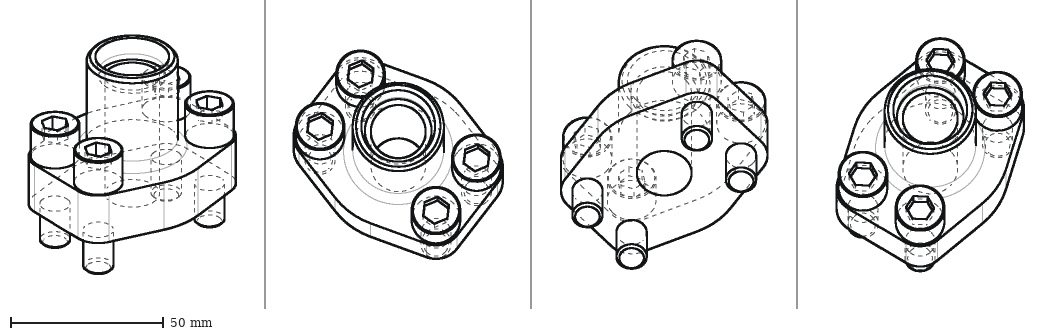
import cadquery as cq
import math

PLATE_LENGTH = 65.0
PLATE_THICKNESS = 18.0
SIDE_RADIUS = 26.0

SCREW_SPACING_X = 22.2
SCREW_SPACING_Y = 47.55
SHANK_DIAMETER = 10.0
SHANK_PROJECTION = 14.5
SHANK_CHAMFER = 0.9
HEAD_DIAMETER = 16.0
HEAD_HEIGHT = 12.5
HEAD_CHAMFER = 0.4
SOCKET_ACROSS_FLATS = 8.0
SOCKET_DEPTH = 5.0

SPIGOT_DIAMETER = 30.0
SPIGOT_CHAMFER_WIDTH = 1.1
SPIGOT_CHAMFER_HEIGHT = 1.4
ROOT_FILLET = 3.0

BORE_DIAMETER = 18.0
TUBE_SEAT_DIAMETER = 22.0
TUBE_SEAT_DEPTH = 7.5
CONE_MOUTH_DIAMETER = 24.3
CONE_HALF_ANGLE = 12.0

TOTAL_HEIGHT = 66.5
PLATE_BOTTOM = SHANK_PROJECTION
PLATE_TOP = PLATE_BOTTOM + PLATE_THICKNESS

CORNER_X = SCREW_SPACING_X / 2
CORNER_Y = SCREW_SPACING_Y / 2
CORNER_RADIUS = PLATE_LENGTH / 2 - CORNER_Y
SCREW_CENTRES = [(sx * CORNER_X, sy * CORNER_Y) for sx in (-1, 1) for sy in (-1, 1)]


def make_plate():
    """Flat-ended plate whose slanted sides are tangent to the side and corner arcs."""
    half_length = PLATE_LENGTH / 2
    centre_distance = math.hypot(CORNER_X, CORNER_Y)
    centre_angle = math.atan2(CORNER_Y, CORNER_X)
    normal_angle = centre_angle - math.acos((SIDE_RADIUS - CORNER_RADIUS) / centre_distance)
    corner_mid_angle = (normal_angle + math.pi / 2) / 2

    def on_corner(angle):
        return (CORNER_X + CORNER_RADIUS * math.cos(angle), CORNER_Y + CORNER_RADIUS * math.sin(angle))

    side_x = SIDE_RADIUS * math.cos(normal_angle)
    side_y = SIDE_RADIUS * math.sin(normal_angle)
    corner_mid = on_corner(corner_mid_angle)
    corner_start = on_corner(normal_angle)

    def mirrored(point, sx, sy):
        return (sx * point[0], sy * point[1])

    return (
        cq.Workplane("XY", origin=(0, 0, PLATE_BOTTOM))
        .moveTo(side_x, -side_y)
        .threePointArc((SIDE_RADIUS, 0), (side_x, side_y))
        .lineTo(*corner_start)
        .threePointArc(corner_mid, (CORNER_X, half_length))
        .lineTo(-CORNER_X, half_length)
        .threePointArc(mirrored(corner_mid, -1, 1), mirrored(corner_start, -1, 1))
        .lineTo(-side_x, side_y)
        .threePointArc((-SIDE_RADIUS, 0), (-side_x, -side_y))
        .lineTo(*mirrored(corner_start, -1, -1))
        .threePointArc(mirrored(corner_mid, -1, -1), (-CORNER_X, -half_length))
        .lineTo(CORNER_X, -half_length)
        .threePointArc(mirrored(corner_mid, 1, -1), mirrored(corner_start, 1, -1))
        .close()
        .extrude(PLATE_THICKNESS)
    )


def make_spigot():
    """Round spigot with a concave root fillet and a chamfered rim, turned about Z."""
    radius = SPIGOT_DIAMETER / 2
    fillet_mid = ROOT_FILLET * (1 - math.sqrt(0.5))
    return (
        cq.Workplane("XZ")
        .moveTo(0, PLATE_BOTTOM)
        .lineTo(radius + ROOT_FILLET, PLATE_BOTTOM)
        .lineTo(radius + ROOT_FILLET, PLATE_TOP)
        .threePointArc((radius + fillet_mid, PLATE_TOP + fillet_mid), (radius, PLATE_TOP + ROOT_FILLET))
        .lineTo(radius, TOTAL_HEIGHT - SPIGOT_CHAMFER_HEIGHT)
        .lineTo(radius - SPIGOT_CHAMFER_WIDTH, TOTAL_HEIGHT)
        .lineTo(0, TOTAL_HEIGHT)
        .close()
        .revolve(360, (0, 0, 0), (0, 1, 0))
    )


def make_bore():
    """Through bore, wider tube seat and conical mouth, as one turned cutter."""
    mouth_radius = CONE_MOUTH_DIAMETER / 2
    seat_radius = TUBE_SEAT_DIAMETER / 2
    bore_radius = BORE_DIAMETER / 2
    cone_depth = (mouth_radius - seat_radius) / math.tan(math.radians(CONE_HALF_ANGLE))
    seat_z = TOTAL_HEIGHT - TUBE_SEAT_DEPTH
    return (
        cq.Workplane("XZ")
        .moveTo(0, PLATE_BOTTOM)
        .lineTo(bore_radius, PLATE_BOTTOM)
        .lineTo(bore_radius, seat_z)
        .lineTo(seat_radius, seat_z)
        .lineTo(seat_radius, TOTAL_HEIGHT - cone_depth)
        .lineTo(mouth_radius, TOTAL_HEIGHT)
        .lineTo(0, TOTAL_HEIGHT)
        .close()
        .revolve(360, (0, 0, 0), (0, 1, 0))
    )


def make_screw():
    """Socket head cap screw on the Z axis, its head resting on the plate."""
    shank = (
        cq.Workplane("XY")
        .circle(SHANK_DIAMETER / 2)
        .extrude(PLATE_TOP)
        .faces("<Z")
        .chamfer(SHANK_CHAMFER)
    )
    head = (
        cq.Workplane("XY", origin=(0, 0, PLATE_TOP))
        .circle(HEAD_DIAMETER / 2)
        .extrude(HEAD_HEIGHT)
        .faces(">Z")
        .chamfer(HEAD_CHAMFER)
    )
    across_corners = SOCKET_ACROSS_FLATS / math.cos(math.pi / 6)
    socket = (
        cq.Workplane("XY", origin=(0, 0, PLATE_TOP + HEAD_HEIGHT - SOCKET_DEPTH))
        .polygon(6, across_corners)
        .extrude(SOCKET_DEPTH)
        .rotate((0, 0, 0), (0, 0, 1), 90)
    )
    return shank.union(head).cut(socket)


result = make_plate().union(make_spigot()).cut(make_bore())
screw = make_screw()
for x, y in SCREW_CENTRES:
    result = result.union(screw.translate((x, y, 0)))